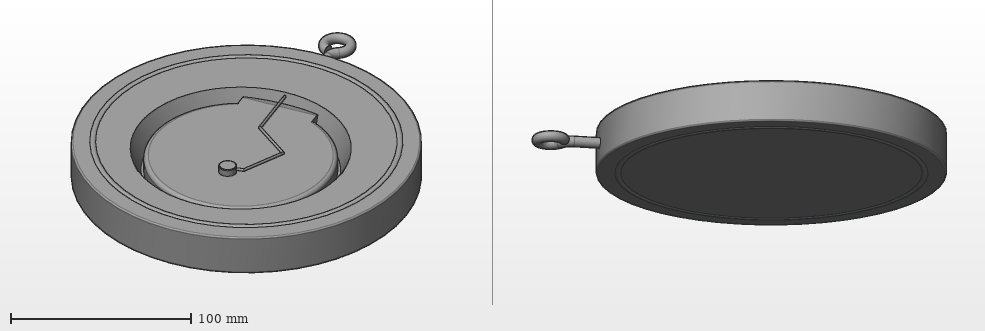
import cadquery as cq
import math

body_radius = 194.5 / 2
body_height = 23.7
body_edge_fillet = 1.0
total_height = 24.9

seal_ring_radius = 85.3
seal_cord_radius = 5.0 / 2

recess_offset_y = -7.7
recess_top_radius = 122.8 / 2
recess_floor_radius = 111.0 / 2
recess_depth = 14.5

flap_radius = 107.9 / 2
flap_fillet = 2.5
flap_below_face = 4.6
tab_half_width = 22.5
tab_flat_end = 53.5
tab_slope_angle = 15

stud_radius = 10.0 / 2
stud_chamfer = 0.5
stud_height = 4.2
stud_y = -18.0
wire_radius = 1.5 / 2
wire_above_flap = 2.3
wire_bends = [(0, 26.3), (22.0, 8.1), (9.0, -16.3)]

rod_radius = 6.0 / 2
eye_radius = 7.5
eye_top_y = 232.5 - body_radius
eye_joint_angle = 60
eye_end_angle = 250
rod_sink = 11.6

face_z = body_height / 2
flap_z = face_z - flap_below_face
floor_z = face_z - recess_depth
flap_height = flap_z - floor_z


def recess_plane(z):
    return cq.Workplane("XY", origin=(0, recess_offset_y, z))


def make_recess():
    """Cone frustum open at the upper face."""
    return (
        cq.Workplane("XZ", origin=(0, recess_offset_y, 0))
        .moveTo(0, floor_z)
        .lineTo(recess_floor_radius, floor_z)
        .lineTo(recess_top_radius, face_z)
        .lineTo(0, face_z)
        .close()
        .revolve(360, (0, 0, 0), (0, 1, 0))
    )


def make_seal_ring(side):
    centre_z = side * (total_height / 2 - seal_cord_radius)
    ring = cq.Solid.makeTorus(seal_ring_radius, seal_cord_radius)
    return cq.Workplane(obj=ring.translate(cq.Vector(0, 0, centre_z)))


def make_flap():
    """Round disc with a hinge tab whose end slopes down to the recess wall."""
    disc = recess_plane(floor_z).circle(flap_radius).extrude(flap_height)
    disc = disc.faces(">Z").edges().fillet(flap_fillet)
    tab_end = recess_top_radius
    slope_drop = (tab_end - tab_flat_end) * math.tan(math.radians(tab_slope_angle))
    tab = (
        cq.Workplane("YZ", origin=(0, recess_offset_y, 0))
        .moveTo(0, floor_z)
        .lineTo(tab_end, floor_z)
        .lineTo(tab_end, flap_z - slope_drop)
        .lineTo(tab_flat_end, flap_z)
        .lineTo(0, flap_z)
        .close()
        .extrude(tab_half_width, both=True)
    )
    return disc.union(tab)


def make_stud():
    stud = recess_plane(flap_z).center(0, stud_y).circle(stud_radius).extrude(stud_height)
    return stud.faces(">Z").edges().chamfer(stud_chamfer)


def make_wire():
    """Round wire from the recess wall to the stud, with a ball at every bend."""
    points = [(0, recess_top_radius), *wire_bends, (0, stud_y)]
    z = flap_z + wire_above_flap
    spots = [cq.Vector(x, y + recess_offset_y, z) for x, y in points]
    wire = cq.Workplane("XY")
    for start, end in zip(spots, spots[1:]):
        run = end - start
        wire = wire.union(cq.Workplane(obj=cq.Solid.makeCylinder(wire_radius, run.Length, start, run)))
    for spot in spots[1:-1]:
        wire = wire.union(cq.Workplane("XY").sphere(wire_radius).translate(spot))
    return wire


def make_eye():
    """Straight rod, bent aside and then curled back into a ring."""
    eye_y = eye_top_y - rod_radius - eye_radius

    def on_eye(degrees):
        angle = math.radians(degrees)
        return (eye_radius * math.cos(angle), eye_y + eye_radius * math.sin(angle))

    joint = on_eye(-eye_joint_angle)
    bend_start_y = eye_y - 2 * eye_radius * math.sin(math.radians(eye_joint_angle))
    rod_start_y = body_radius - rod_sink
    path = (
        cq.Workplane("XY")
        .moveTo(0, rod_start_y)
        .lineTo(0, bend_start_y)
        .tangentArcPoint(joint, relative=False)
        .threePointArc(on_eye((eye_end_angle - eye_joint_angle) / 2), on_eye(eye_end_angle))
    )
    return cq.Workplane("XZ", origin=(0, rod_start_y, 0)).circle(rod_radius).sweep(path)


body = cq.Workplane("XY").circle(body_radius).extrude(body_height).translate((0, 0, -face_z))
body = body.edges().fillet(body_edge_fillet)
body = body.cut(make_recess())
for side in (1, -1):
    body = body.union(make_seal_ring(side))

result = body.union(make_flap()).union(make_stud()).union(make_wire()).union(make_eye())